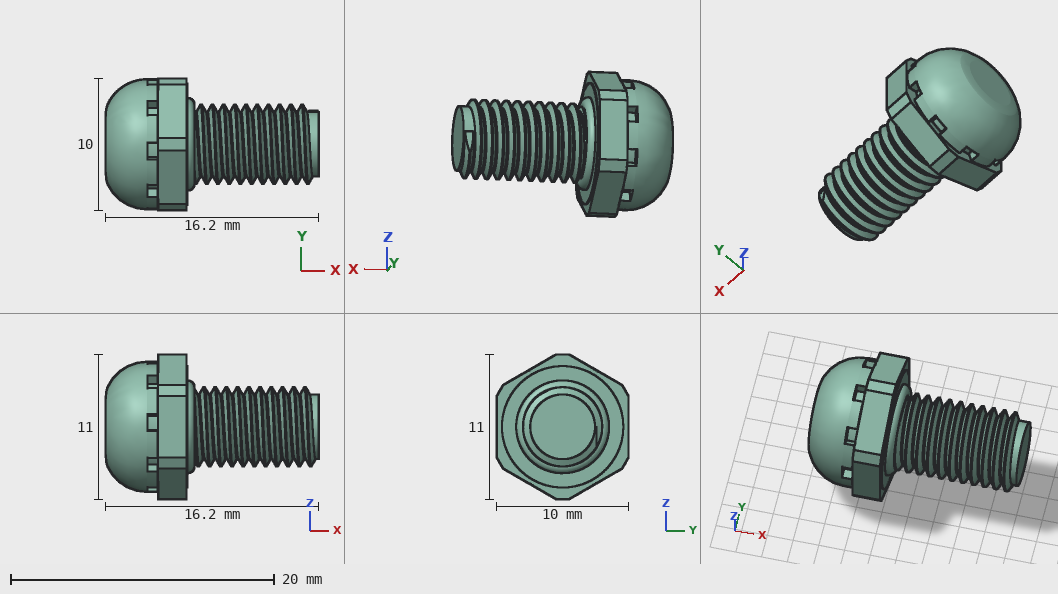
import cadquery as cq
import math


SKIRT_START = 3.17
HEX_FRONT = 3.99
HEX_BACK = 6.14
SEAT_FACE = 6.2
TOTAL_LENGTH = 16.16

CAP_RADIUS = 4.95
CAP_FLAT_RADIUS = 2.15
CAP_RIM_RADIUS = 3.0
CAP_RIM_DEPTH = 0.15
TOOTH_COUNT = 9
TOOTH_ANGLE = 25.0
FIRST_TOOTH_ANGLE = -4.0
TOOTH_GAP = 0.05

COLLAR_RADIUS = 8.3 / 2
HEX_ACROSS_FLATS = 10.0
HEX_ACROSS_CORNERS = 10.99
SEAT_RADIUS = 4.6

CORE_RADIUS = 4.91 / 2
CREST_RADIUS = 6.01 / 2
CREST_WIDTH = 0.1
FLANK_ANGLE = 30.0
ROOT_OVERLAP = 0.05
THREAD_END = 15.75
HELIX_LENGTH = 9.57
THREAD_TURNS = 11.25
PITCH = HELIX_LENGTH / THREAD_TURNS
RUNOUT_LENGTH = 0.78
RUNOUT_FLAT = 2.55

RING_CENTRE = 6.22
RING_SECTION_RADIUS = 0.53
RING_CENTRE_RADIUS = CORE_RADIUS + RING_SECTION_RADIUS
THREAD_START = RING_CENTRE + RING_SECTION_RADIUS

X_AXIS = ((0, 0, 0), (1, 0, 0))


def disc(start, end, radius):
    """Cylinder about the X axis between two stations."""
    return cq.Workplane("YZ", origin=(start, 0, 0)).circle(radius).extrude(end - start)


def hex_prism(start, end, across_flats):
    """Hexagonal prism about the X axis with two flats facing +Y and -Y."""
    corner_diameter = across_flats / math.cos(math.radians(30))
    prism = cq.Workplane("YZ", origin=(start, 0, 0)).polygon(6, corner_diameter).extrude(end - start)
    return prism.rotate(*X_AXIS, 30)


def make_dome():
    """Solid dome: flat front, soft rim, then an arc that meets the skirt tangentially."""
    arc_length = SKIRT_START - CAP_RIM_DEPTH
    arc_rise = CAP_RADIUS - CAP_RIM_RADIUS
    arc_radius = (arc_length**2 + arc_rise**2) / (2 * arc_rise)
    return (
        cq.Workplane("XY")
        .lineTo(0, CAP_FLAT_RADIUS)
        .tangentArcPoint((CAP_RIM_DEPTH, CAP_RIM_RADIUS), relative=False)
        .radiusArc((SKIRT_START, CAP_RADIUS), arc_radius)
        .lineTo(SKIRT_START, 0)
        .close()
        .revolve(360, *X_AXIS)
    )


def make_tooth(centre_angle):
    """One skirt tooth: a ring sector with radial sides, its angle measured from +Y towards +Z."""
    tooth_end = HEX_FRONT - TOOTH_GAP
    return (
        cq.Workplane("XY")
        .moveTo(SKIRT_START, COLLAR_RADIUS)
        .lineTo(SKIRT_START, CAP_RADIUS)
        .lineTo(tooth_end, CAP_RADIUS)
        .lineTo(tooth_end, COLLAR_RADIUS)
        .close()
        .revolve(TOOTH_ANGLE, *X_AXIS)
        .rotate(*X_AXIS, centre_angle - TOOTH_ANGLE / 2)
    )


def make_cap():
    """Dome with its skirt teeth evenly spaced around the collar."""
    cap = make_dome()
    for index in range(TOOTH_COUNT):
        cap = cap.union(make_tooth(FIRST_TOOTH_ANGLE + index * 360 / TOOTH_COUNT))
    return cap


def make_thread():
    """Right-handed ridge, cut square where the sealing ring ends and trimmed low at its far end."""
    base_radius = CORE_RADIUS - ROOT_OVERLAP
    crest_half = CREST_WIDTH / 2
    base_half = crest_half + (CREST_RADIUS - base_radius) * math.tan(math.radians(FLANK_ANGLE))
    helix = cq.Workplane(obj=cq.Wire.makeHelix(PITCH, HELIX_LENGTH, CORE_RADIUS))
    ridge = (
        cq.Workplane("XZ")
        .moveTo(base_radius, -base_half)
        .lineTo(CREST_RADIUS, -crest_half)
        .lineTo(CREST_RADIUS, crest_half)
        .lineTo(base_radius, base_half)
        .close()
        .sweep(helix, isFrenet=True)
        .rotate((0, 0, 0), (0, 1, 0), 90)
        .translate((THREAD_END - HELIX_LENGTH, 0, 0))
    )
    runout_start = TOTAL_LENGTH - RUNOUT_LENGTH
    runout = (
        cq.Workplane("XY", origin=(runout_start, RUNOUT_FLAT, 0))
        .box(RUNOUT_LENGTH, CREST_RADIUS, 2 * CREST_RADIUS, centered=(False, False, True))
    )
    return ridge.intersect(disc(THREAD_START, TOTAL_LENGTH, 2 * CREST_RADIUS)).cut(runout)


def make_seat_and_shank():
    """Seat face with the round-bottomed ring groove, and the plain core of the shank."""
    ring_standoff = RING_CENTRE - SEAT_FACE
    groove_outer = RING_CENTRE_RADIUS + math.sqrt(RING_SECTION_RADIUS**2 - ring_standoff**2)
    groove_bottom = RING_CENTRE - RING_SECTION_RADIUS
    return (
        cq.Workplane("XY")
        .moveTo(HEX_FRONT, 0)
        .lineTo(HEX_FRONT, SEAT_RADIUS)
        .lineTo(SEAT_FACE, SEAT_RADIUS)
        .lineTo(SEAT_FACE, groove_outer)
        .threePointArc((groove_bottom, RING_CENTRE_RADIUS), (RING_CENTRE, CORE_RADIUS))
        .lineTo(TOTAL_LENGTH, CORE_RADIUS)
        .lineTo(TOTAL_LENGTH, 0)
        .close()
        .revolve(360, *X_AXIS)
    )


def make_hex_flange():
    """Hexagon with its six corners cut flat, hollow where the seat fills it."""
    corner_cutter = hex_prism(HEX_FRONT, HEX_BACK, HEX_ACROSS_CORNERS).rotate(*X_AXIS, 30)
    hexagon = hex_prism(HEX_FRONT, HEX_BACK, HEX_ACROSS_FLATS).intersect(corner_cutter)
    return hexagon.cut(disc(HEX_FRONT, HEX_BACK, SEAT_RADIUS))


def make_housing():
    """Collar, hexagonal flange, ring seat and threaded shank in one piece."""
    collar = disc(SKIRT_START, HEX_FRONT, COLLAR_RADIUS)
    return make_seat_and_shank().union(make_hex_flange()).union(collar).union(make_thread())


def make_sealing_ring():
    """Round-section ring lying in the groove of the seat, its seam at the groove bottom."""
    section_plane = cq.Plane((RING_CENTRE, RING_CENTRE_RADIUS, 0), xDir=(-1, 0, 0), normal=(0, 0, 1))
    section = cq.Workplane(section_plane).circle(RING_SECTION_RADIUS)
    return section.revolve(360, (0, RING_CENTRE_RADIUS, 0), (1, RING_CENTRE_RADIUS, 0))


cap = make_cap()
housing = make_housing()
sealing_ring = make_sealing_ring()

result = cq.Compound.makeCompound([cap.val(), housing.val(), sealing_ring.val()])